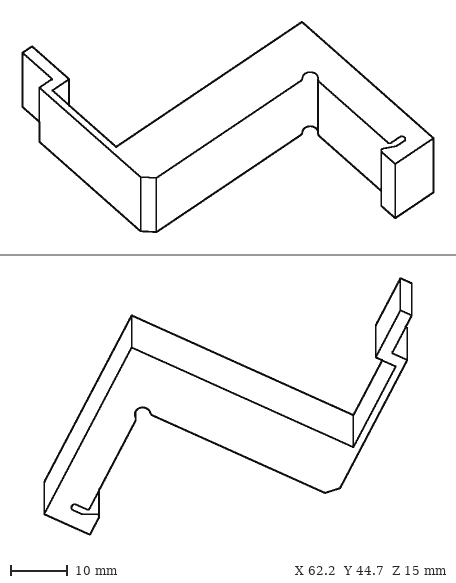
import cadquery as cq

length = 62.25
depth = 44.7
height = 15.0

post_left = 27.0
post_width = 10.0
post_right = post_left + post_width
post_chamfer = 2.0

strip_thickness = 1.3
tab_length = 7.95
tab_bottom = 3.0
tab_top = 5.2
step_wall = 2.0

arm_thickness = 6.7
arm_inner = depth - arm_thickness
lip_depth = 8.95
lip_bottom = depth - lip_depth
slot_width = 1.2
slot_left = length - 4.1
slot_right = slot_left + slot_width
slot_top = depth - 3.75
hook_slope_start = depth - 6.1
hook_point = slot_left - 0.3
slot_end_radius = 0.5
slot_mouth_radius = 0.3
hook_tip_radius = 0.5

relief_radius = 1.4
relief_offset = 0.6
relief_edge_radius = 1.0


def fillet_upright_edges(body, points, radius):
    """Round the full-height edges that pass through the given plan points."""
    for x, y in points:
        edge = cq.selectors.NearestToPointSelector((x, y, height / 2))
        body = body.edges("|Z").edges(edge).fillet(radius)
    return body


def make_bracket():
    """Extrude the Z-shaped outline with its sharp corners."""
    outline = [
        (0, tab_bottom),
        (tab_length, tab_bottom),
        (tab_length, 0),
        (post_right - post_chamfer, 0),
        (post_right, post_chamfer),
        (post_right, arm_inner),
        (slot_left, arm_inner),
        (slot_left, slot_top),
        (slot_right, slot_top),
        (slot_right, hook_slope_start),
        (hook_point, lip_bottom),
        (length, lip_bottom),
        (length, depth),
        (post_left, depth),
        (post_left, strip_thickness),
        (tab_length + step_wall, strip_thickness),
        (tab_length + step_wall, tab_top),
        (0, tab_top),
    ]
    return cq.Workplane("XY").polyline(outline).close().extrude(height)


def round_hook(body):
    """Round the slot end, the slot mouth and the tip of the hook."""
    slot_end = [(slot_left, slot_top), (slot_right, slot_top)]
    body = fillet_upright_edges(body, slot_end, slot_end_radius)
    body = fillet_upright_edges(body, [(slot_left, arm_inner)], slot_mouth_radius)
    body = fillet_upright_edges(body, [(slot_right, hook_slope_start)], slot_end_radius)
    return fillet_upright_edges(body, [(hook_point, lip_bottom)], hook_tip_radius)


def cut_corner_relief(body):
    """Cut the round relief and blend its rims into the post and arm faces."""
    center_x = post_right + relief_offset
    center_y = arm_inner - relief_offset
    relief = cq.Workplane("XY").center(center_x, center_y).circle(relief_radius).extrude(height)
    reach = (relief_radius**2 - relief_offset**2) ** 0.5
    rims = [(center_x + reach, arm_inner), (post_right, center_y - reach)]
    return fillet_upright_edges(body.cut(relief), rims, relief_edge_radius)


result = cut_corner_relief(round_hook(make_bracket()))